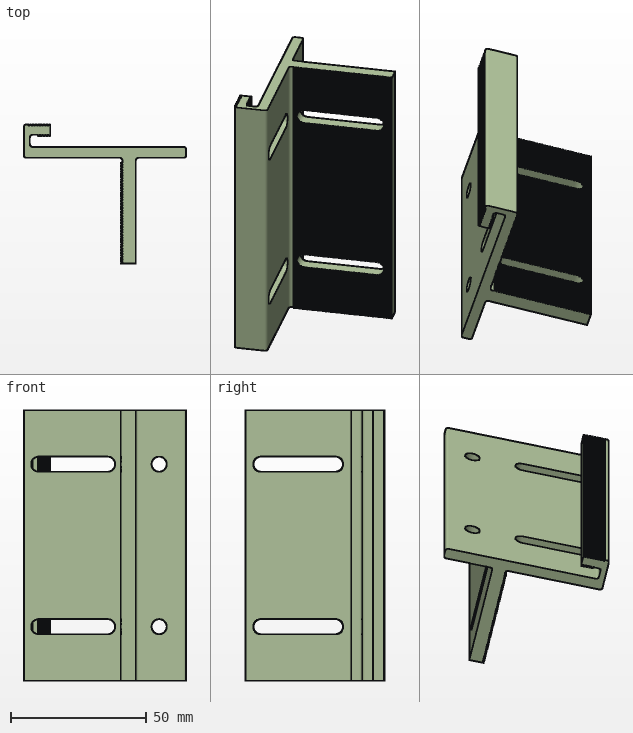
import cadquery as cq

width = 60.0
depth = 51.4
length = 100.0
corner_radius = 1.0
back_y = depth / 2
front_y = -depth / 2

pitch = 1.0
groove_depth = 0.5
groove_mouth = 0.7
groove_floor = 0.2

web_length = 39.0
plate_thickness = 4.1
plate_front_y = front_y + web_length
plate_back_y = plate_front_y + plate_thickness

wall_thickness = 2.3
hook_reach = 9.8
hook_thickness = 4.4
hook_inner_y = back_y - hook_thickness
first_back_groove_x = 2.0
first_front_groove_x = 5.0
last_groove_x = 10.0

web_right_x = 41.4
web_thickness = 5.5
web_left_x = web_right_x - web_thickness
web_groove_count = 38

hole_diameter = 5.5
row_spacing = 60.0
row_heights = (-row_spacing / 2, row_spacing / 2)
hole_x = 50.0
plate_slot_length = 31.0
plate_slot_start_x = 2.7
web_slot_length = 33.0
web_slot_start_y = -22.7


def prism(points):
    """Full-length bar with the given polygonal cross-section."""
    return cq.Workplane("XY", origin=(0, 0, -length / 2)).polyline(points).close().extrude(length)


def groove_section(along, surface, inward):
    """Groove corners as (along, across) pairs; inward is the direction into the material."""
    floor = surface + inward * groove_depth
    return [
        (along - groove_mouth / 2, surface),
        (along - groove_floor / 2, floor),
        (along + groove_floor / 2, floor),
        (along + groove_mouth / 2, surface),
    ]


def smooth_body():
    """Plate, hook and web before the teeth are cut; plain faces beside the teeth lie at floor level."""
    hook_floor_y = hook_inner_y + groove_depth
    hook_teeth_x = first_front_groove_x
    web_floor_x = web_left_x + groove_depth
    web_teeth_y = front_y + (web_groove_count - 0.5) * pitch
    body = prism(
        [
            (0, plate_front_y),
            (0, back_y),
            (hook_reach, back_y),
            (hook_reach, hook_inner_y),
            (hook_teeth_x, hook_inner_y),
            (hook_teeth_x, hook_floor_y),
            (wall_thickness, hook_floor_y),
            (wall_thickness, plate_back_y),
            (width, plate_back_y),
            (width, plate_front_y),
            (web_right_x, plate_front_y),
            (web_right_x, front_y),
            (web_left_x, front_y),
            (web_left_x, web_teeth_y),
            (web_floor_x, web_teeth_y),
            (web_floor_x, plate_front_y),
        ]
    )
    rounded_corners = [
        (0, plate_front_y),
        (0, back_y),
        (wall_thickness, hook_floor_y),
        (wall_thickness, plate_back_y),
        (width, plate_back_y),
        (width, plate_front_y),
        (web_right_x, plate_front_y),
        (web_floor_x, plate_front_y),
    ]
    for x, y in rounded_corners:
        corner = cq.selectors.NearestToPointSelector((x, y, 0))
        body = body.edges("|Z").edges(corner).fillet(corner_radius)
    return body


def hook_grooves(first_x, surface_y, inward):
    """Grooves across one face of the hook; the last one only bevels the hook tip."""
    count = round((last_groove_x - first_x) / pitch) + 1
    centers = [first_x + index * pitch for index in range(count)]
    return [prism(groove_section(x, surface_y, inward)) for x in centers]


def web_grooves():
    """Grooves up the left face of the web, starting half a pitch from its free end."""
    grooves = []
    for index in range(web_groove_count):
        center_y = front_y + (index + 0.5) * pitch
        section = groove_section(center_y, web_left_x, 1)
        grooves.append(prism([(x, y) for y, x in section]))
    return grooves


def openings(z):
    """Plate slot, plate hole and web slot of the row at height z."""
    plate_face = cq.Workplane("XZ", origin=(0, plate_back_y, z))
    plate_slot = (
        plate_face.center(plate_slot_start_x + plate_slot_length / 2, 0)
        .slot2D(plate_slot_length, hole_diameter)
        .extrude(plate_thickness)
    )
    plate_hole = plate_face.center(hole_x, 0).circle(hole_diameter / 2).extrude(plate_thickness)
    web_slot = (
        cq.Workplane("YZ", origin=(web_left_x, web_slot_start_y + web_slot_length / 2, z))
        .slot2D(web_slot_length, hole_diameter)
        .extrude(web_thickness)
    )
    return [plate_slot, plate_hole, web_slot]


cutters = hook_grooves(first_back_groove_x, back_y, -1)
cutters += hook_grooves(first_front_groove_x, hook_inner_y, 1)
cutters += web_grooves()
for row_z in row_heights:
    cutters += openings(row_z)

result = smooth_body()
for cutter in cutters:
    result = result.cut(cutter)